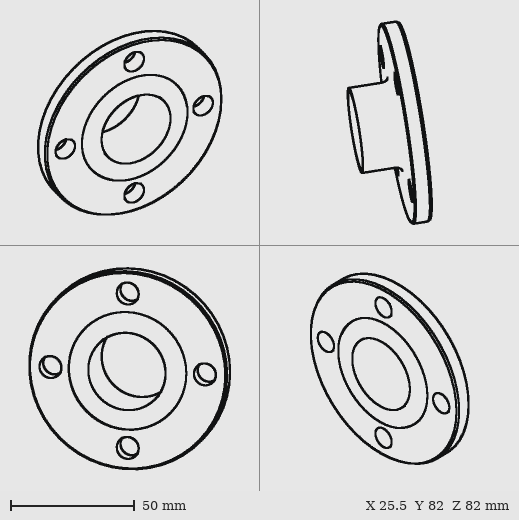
import cadquery as cq

flange_diameter = 82.0
total_length = 25.5

raised_face_height = 1.5
flange_thickness = 7.2

hub_diameter = 34.9
bore_diameter = 32.0
hub_fillet = 2.95

raised_face_diameter = 48.6
raised_face_fillet = 1.0
flange_front_chamfer = 0.6
back_chamfer_length = 1.0
back_chamfer_depth = 0.6

bolt_hole_count = 4
bolt_hole_diameter = 9.0
bolt_circle_diameter = 64.0

flange_back_x = total_length - raised_face_height
flange_front_x = flange_back_x - flange_thickness


def disc(diameter, start_x, end_x):
    """Solid cylinder along X between two axial positions."""
    return cq.Workplane("YZ", origin=(start_x, 0, 0)).circle(diameter / 2).extrude(end_x - start_x)


def make_flange():
    """Flange plate with a bevel on each rim; the back bevel is longer along X than it is deep."""
    plate = disc(flange_diameter, flange_front_x, flange_back_x)
    plate = plate.faces("<X").edges().chamfer(flange_front_chamfer)
    flange_radius = flange_diameter / 2
    back_bevel = (
        cq.Workplane("XY")
        .moveTo(flange_back_x - back_chamfer_length, flange_radius)
        .lineTo(flange_back_x, flange_radius)
        .lineTo(flange_back_x, flange_radius - back_chamfer_depth)
        .close()
        .revolve(360, (0, 0, 0), (1, 0, 0))
    )
    return plate.cut(back_bevel)


def make_raised_face():
    face = disc(raised_face_diameter, flange_front_x, total_length)
    return face.faces(">X").edges().fillet(raised_face_fillet)


def make_hub():
    """Hub tube blank with a concave flare where it meets the flange."""
    hub_radius = hub_diameter / 2
    flare_start_x = flange_front_x - hub_fillet
    flare_radius = hub_radius + hub_fillet
    arc_drop = hub_fillet * (1 - 0.5 ** 0.5)
    profile = (
        cq.Workplane("XY")
        .lineTo(0, hub_radius)
        .lineTo(flare_start_x, hub_radius)
        .threePointArc((flange_front_x - arc_drop, hub_radius + arc_drop), (flange_front_x, flare_radius))
        .lineTo(flange_back_x, flare_radius)
        .lineTo(flange_back_x, 0)
        .close()
    )
    return profile.revolve(360, (0, 0, 0), (1, 0, 0))


def make_bolt_holes():
    return (
        cq.Workplane("YZ")
        .polarArray(bolt_circle_diameter / 2, 0, 360, bolt_hole_count)
        .circle(bolt_hole_diameter / 2)
        .extrude(total_length)
    )


body = make_flange().union(make_raised_face()).union(make_hub())
bore = disc(bore_diameter, 0, total_length)
result = body.cut(bore).cut(make_bolt_holes())